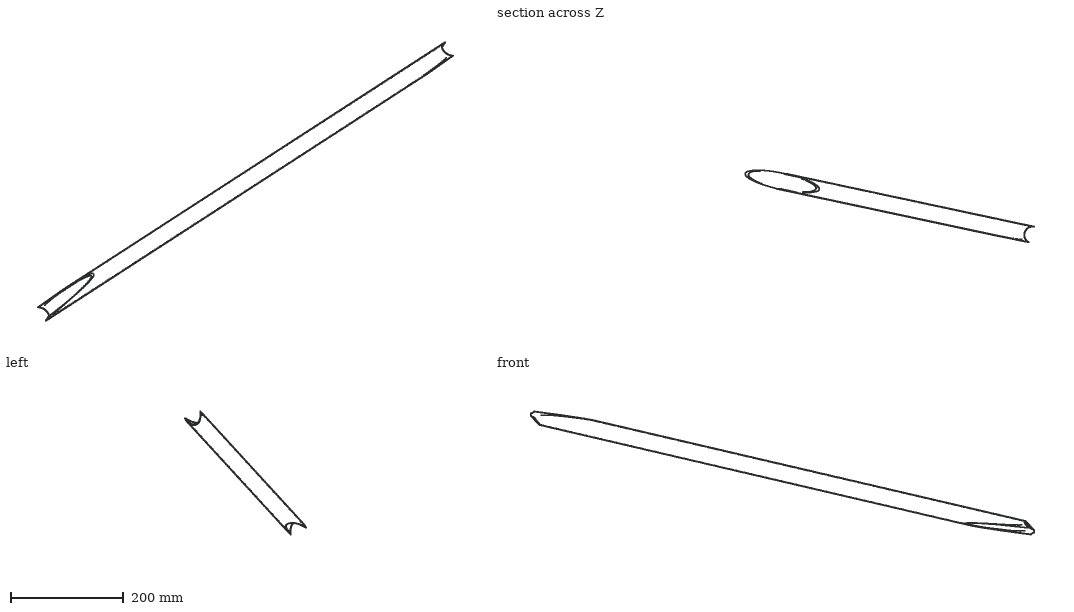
import cadquery as cq
SPAN_X = 886.4
SPAN_Y = 189.4
SPAN_Z = 206.8

TUBE_DIAMETER = 30.0
WALL = 1.5

END_OVERLAP = 15.0

CHORD_DIAMETER = 29.93
POST_DIAMETER = 29.76
COPE_LENGTH = 700.0

CHORD_SIDE_SLOPE = -0.114
CHORD_DIRECTION = cq.Vector(1, CHORD_SIDE_SLOPE, 0).normalized()
POST_DIRECTION = cq.Vector(0, 0, 1)

LOWER_NODE = cq.Vector(SPAN_X / 2, -SPAN_Y / 2, -SPAN_Z / 2)
UPPER_NODE = LOWER_NODE * -1


def centred_cylinder(centre, direction, diameter, length):
    """Solid cylinder along a unit direction, with its mid-length at centre."""
    start = centre - direction * (length / 2)
    return cq.Workplane(cq.Solid.makeCylinder(diameter / 2, length, start, direction))


def uncut_tube():
    """Hollow tube with square ends, overrunning both nodes."""
    brace_axis = LOWER_NODE - UPPER_NODE
    direction = brace_axis.normalized()
    length = brace_axis.Length + 2 * END_OVERLAP
    centre = cq.Vector(0, 0, 0)
    outer = centred_cylinder(centre, direction, TUBE_DIAMETER, length)
    bore = centred_cylinder(centre, direction, TUBE_DIAMETER - 2 * WALL, length)
    return outer.cut(bore)


def cope_end(tube, node):
    """Cut the envelopes of the chord and the post meeting at a node out of the tube."""
    chord = centred_cylinder(node, CHORD_DIRECTION, CHORD_DIAMETER, COPE_LENGTH)
    post = centred_cylinder(node, POST_DIRECTION, POST_DIAMETER, COPE_LENGTH)
    return tube.cut(chord).cut(post)


def main_piece(body):
    """Drop the loose offcuts beyond the nodes and keep the brace itself."""
    return cq.Workplane(max(body.solids().vals(), key=lambda solid: solid.Volume()))


brace = uncut_tube()
for end_node in (UPPER_NODE, LOWER_NODE):
    brace = cope_end(brace, end_node)

result = main_piece(brace)